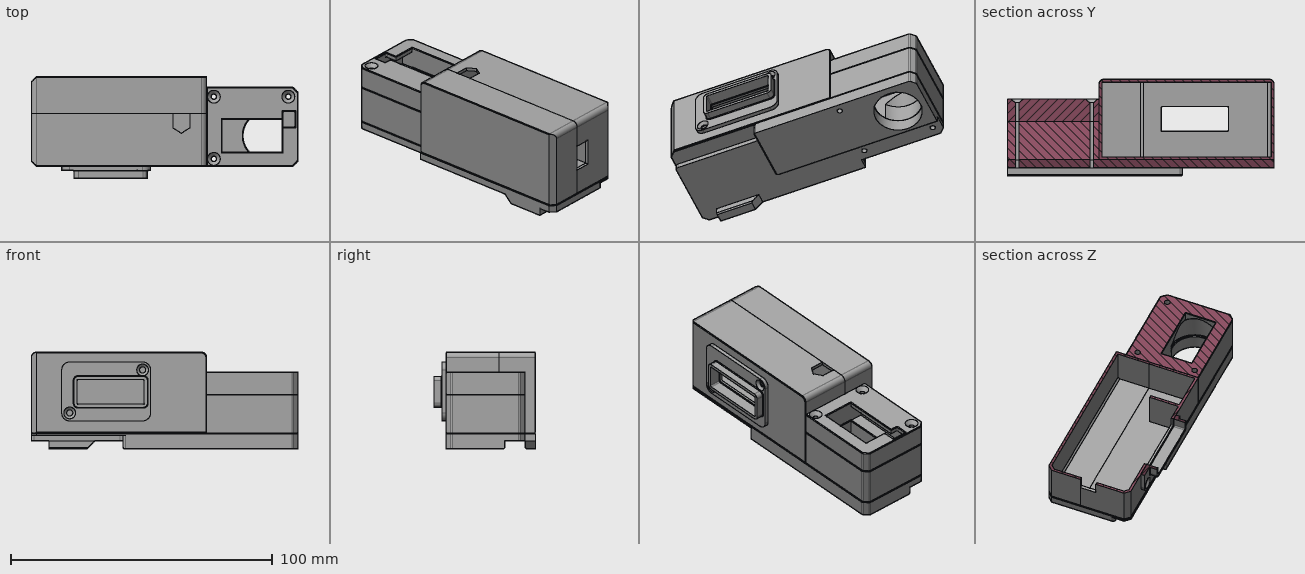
import cadquery as cq
length = 102.0
housing_length = 67.0
housing_width = 34.3
overall_height = 37.0
edge_break = 0.3

plate_bottom = 3.1
step_top = 5.2
base_top = 6.1
block_top = 20.9
lid_top = 29.5

wall = 1.2
corner = 2.0
split_y = 20.2
cavity_chamfer = 0.7
usb_width = 6.3
usb_bottom = 16.3
usb_height = 10.4
rib_x = 49.9
rib_end = 13.1
window_x = 54.1
window_width = 6.5
window_side = 5.5
window_depth = 7.5

flange_x = 11.6
flange_z = 10.7
flange_length = 34.0
flange_height = 22.5
flange_thick = 1.5
flange_radius = 3.1
collar_x = 16.3
collar_z = 15.9
collar_length = 28.0
collar_height = 11.8
collar_depth = 3.1
collar_radius = 1.6
collar_wall = 1.2
opening_radius = 0.4
flange_hole = 2.3
flange_sink = 4.5
flange_screw_inset = 3.1

camera_width = 30.3
camera_corner = 2.0
camera_corner_radius = 1.0
window_x0 = 72.9
window_x1 = 95.9
window_y0 = 5.5
window_y1 = 18.0
lid_roof = 1.8
lid_cavity_x1 = 100.8
lid_cavity_y1 = 23.1
notch_y0 = 15.0
notch_y1 = 21.0
notch_radius = 0.5
screw_hole = 1.9
screw_sink = 4.9
screw_points = [(69.8, 2.9), (69.8, 26.6), (98.2, 26.6)]
lens_x = 90.2
lens_y = (window_y0 + window_y1) / 2
lens_hole = 18.5
lens_bore = 20.1
lens_bore_top = 15.3
lens_cone_top = 20.4
lens_cone_top_diameter = 9.9

keel_x = 35.0
keel_width = 22.5
keel_radius = 1.0
keel_chamfer = 0.5
step_y = 6.0
foot_x = 6.7
foot_length = 17.5
foot_width = 4.0
foot_chamfer = 0.5


def block(x0, x1, y0, y1, z0, z1):
    """Box between two opposite corners."""
    return cq.Workplane("XY").box(x1 - x0, y1 - y0, z1 - z0, centered=False).translate((x0, y0, z0))


def camera_block(x0, z0, z1):
    """Box over the camera end with eased corners at +X."""
    body = block(x0, length, 0, camera_width, z0, z1)
    body = body.edges("|Z and >X").chamfer(camera_corner)
    near_end = cq.selectors.BoxSelector(
        (length - camera_corner - 0.1, -1, z0 - 1), (length + 1, camera_width + 1, z1 + 1)
    )
    return body.edges("|Z").edges(near_end).fillet(camera_corner_radius)


def screw_holes(z0, z1):
    return (
        cq.Workplane("XY").workplane(offset=z0).pushPoints(screw_points)
        .circle(screw_hole / 2).extrude(z1 - z0)
    )


def countersink(plane, hole, sink):
    """45 degree cone whose wide end lies on the plane and which narrows along -normal."""
    depth = (sink - hole) / 2
    return cq.Workplane(plane).circle(sink / 2).workplane(offset=-depth).circle(hole / 2).loft()


def camera_window(z0, z1):
    return block(window_x0, window_x1, window_y0, window_y1, z0, z1)


def window_rim(z):
    """Selector of the window edges at height z."""
    return cq.selectors.BoxSelector(
        (window_x0 - 0.1, window_y0 - 0.1, z - 0.1), (window_x1 + 0.1, window_y1 + 0.1, z + 0.1)
    )


def make_housing_shell():
    """Complete hollow housing before it is split into its two halves."""
    body = block(0, housing_length, 0, housing_width, base_top, overall_height)
    body = body.edges("|Z and <X").chamfer(corner)
    body = body.edges("|Y and >Z").fillet(corner)
    body = body.faces("<Y or >Y").edges("not(<X)").edges(
        cq.selectors.BoxSelector((corner + 0.1, -1, 0), (length, housing_width + 1, length))
    ).chamfer(edge_break)
    cavity = block(
        wall, housing_length - wall, wall, housing_width - wall, base_top + wall, overall_height - wall
    )
    cavity = cavity.edges("|Z and <X").chamfer(corner - wall / 2)
    cavity = cavity.edges("|X and <Z and >Y").chamfer(cavity_chamfer)
    return body.cut(cavity)


def make_front_shell(shell):
    body = shell.intersect(block(-1, length, -1, split_y, 0, overall_height + 1))
    usb = block(-1, corner, split_y - usb_width, split_y, usb_bottom, usb_bottom + usb_height)
    window = (
        cq.Workplane("XY").workplane(offset=overall_height - 2 * wall)
        .moveTo(window_x, split_y)
        .lineTo(window_x, split_y - window_side)
        .lineTo(window_x + window_width / 2, split_y - window_depth)
        .lineTo(window_x + window_width, split_y - window_side)
        .lineTo(window_x + window_width, split_y)
        .close().extrude(3 * wall)
    )
    body = body.cut(usb).cut(window).cut(connector_opening())
    opening_rim = cq.selectors.BoxSelector(
        (collar_x, -0.1, collar_z), (collar_x + collar_length, 0.1, collar_z + collar_height)
    )
    body = body.edges(opening_rim).chamfer(edge_break)
    rib = block(rib_x, rib_x + wall, wall, rib_end, base_top + wall, overall_height - wall)
    return body.union(rib)


def make_rear_shell(shell):
    return shell.intersect(block(-1, length, split_y, housing_width + 1, 0, overall_height + 1))


def connector_opening():
    """Passage through the collar, the flange and the front wall."""
    opening = block(
        collar_x + collar_wall, collar_x + collar_length - collar_wall,
        -flange_thick - collar_depth, 2 * wall,
        collar_z + collar_wall, collar_z + collar_height - collar_wall,
    )
    return opening.edges("|Y").fillet(opening_radius)


def make_connector_plate():
    flange = block(
        flange_x, flange_x + flange_length, -flange_thick, 0, flange_z, flange_z + flange_height
    ).edges("|Y").fillet(flange_radius)
    collar = block(
        collar_x, collar_x + collar_length, -flange_thick - collar_depth, -flange_thick,
        collar_z, collar_z + collar_height,
    ).edges("|Y").fillet(collar_radius)
    collar_foot = cq.selectors.BoxSelector(
        (collar_x - 0.1, -flange_thick - 0.1, collar_z - 0.1),
        (collar_x + collar_length + 0.1, -flange_thick + 0.1, collar_z + collar_height + 0.1),
    )
    body = flange.union(collar).edges(collar_foot).chamfer(edge_break).cut(connector_opening())
    inset = flange_screw_inset
    for x, z in [
        (flange_x + inset, flange_z + inset),
        (flange_x + flange_length - inset, flange_z + flange_height - inset),
    ]:
        face = cq.Plane(origin=(x, -flange_thick, z), xDir=(1, 0, 0), normal=(0, -1, 0))
        body = body.cut(cq.Workplane(face).circle(flange_hole / 2).extrude(-flange_thick))
        body = body.cut(countersink(face, flange_hole, flange_sink))
    return body


def make_camera_block():
    """Middle block with the window above the lens bore."""
    body = camera_block(housing_length, base_top, block_top)
    body = body.edges("|X and >Z and <Y").chamfer(edge_break)
    body = body.cut(camera_window(base_top, block_top))
    body = body.edges(window_rim(block_top)).chamfer(edge_break)
    return body.cut(lens_recess()).cut(screw_holes(base_top, block_top))


def lens_recess():
    """Lens bore that narrows to a cone below the window."""
    bore = (
        cq.Workplane("XY").workplane(offset=base_top).center(lens_x, lens_y)
        .circle(lens_bore / 2).extrude(lens_bore_top - base_top)
    )
    cone = (
        cq.Workplane("XY").workplane(offset=lens_bore_top).center(lens_x, lens_y)
        .circle(lens_bore / 2).workplane(offset=lens_cone_top - lens_bore_top)
        .circle(lens_cone_top_diameter / 2).loft()
    )
    return bore.union(cone)


def lid_notch(roof_bottom):
    """Notch beside the window, flared at its top edge."""
    notch = block(window_x1 + edge_break, lid_cavity_x1, notch_y0, notch_y1, roof_bottom, lid_top)
    notch = notch.edges("|Z").fillet(notch_radius)
    flare = (
        cq.Workplane("XY").workplane(offset=lid_top - edge_break)
        .center((window_x1 + edge_break + lid_cavity_x1) / 2, (notch_y0 + notch_y1) / 2)
        .rect(lid_cavity_x1 - window_x1 - edge_break, notch_y1 - notch_y0)
        .extrude(edge_break, taper=-45)
    )
    link = block(window_x1 - edge_break, window_x1 + 1, notch_y0, window_y1, roof_bottom, lid_top)
    return notch.union(flare).union(link)


def make_lid():
    roof_bottom = lid_top - lid_roof
    body = camera_block(housing_length, block_top, lid_top)
    body = body.faces(">Z").chamfer(edge_break)
    body = body.cut(block(window_x0, lid_cavity_x1, window_y0, lid_cavity_y1, block_top, roof_bottom))
    body = body.cut(camera_window(roof_bottom, lid_top))
    body = body.edges(window_rim(lid_top)).chamfer(edge_break)
    body = body.cut(lid_notch(roof_bottom)).cut(screw_holes(block_top, lid_top))
    for x, y in screw_points:
        face = cq.Plane(origin=(x, y, lid_top), normal=(0, 0, 1))
        body = body.cut(countersink(face, screw_hole, screw_sink))
    return body


def make_base():
    body = block(0, housing_length, 0, housing_width, step_top, base_top)
    body = body.edges("|Z and <X").chamfer(corner)
    body = body.union(camera_block(keel_x + keel_radius, step_top, base_top))
    body = body.faces(">Z").chamfer(edge_break)

    step = block(0, housing_length, step_y, housing_width, plate_bottom, step_top)
    step = step.edges("|Z and <X and >Y").chamfer(corner)
    step = step.edges("|Z and <X and <Y").fillet(keel_radius)
    step = step.union(camera_block(keel_x + keel_radius, plate_bottom, step_top))

    keel = block(keel_x, length, 0, keel_width, 0, step_top)
    keel = keel.edges("|Z and <X and >Y").fillet(keel_radius)
    keel = keel.edges("<X and <Z").chamfer(keel_chamfer)
    keel = keel.edges("|Z and <X and <Y").fillet(keel_radius)
    keel = keel.intersect(camera_block(0, 0, step_top))
    blend = block(keel_x - keel_radius, keel_x, step_y - keel_radius, step_y, plate_bottom, step_top).cut(
        cq.Workplane("XY").center(keel_x - keel_radius, step_y - keel_radius)
        .circle(keel_radius).extrude(step_top)
    )

    foot = (
        cq.Workplane("XZ", origin=(0, housing_width, 0))
        .moveTo(foot_x, 0).lineTo(foot_x + foot_length - plate_bottom, 0)
        .lineTo(foot_x + foot_length, plate_bottom).lineTo(foot_x, plate_bottom)
        .close().extrude(foot_width)
    )
    foot = foot.edges("|X and <Z and <Y").chamfer(foot_chamfer)
    body = body.union(step).union(keel).union(blend).union(foot)

    lens = cq.Workplane("XY").center(lens_x, lens_y).circle(lens_hole / 2).extrude(base_top)
    lens = lens.union(
        cq.Workplane("XY").workplane(offset=base_top - edge_break).center(lens_x, lens_y)
        .circle(lens_hole / 2).extrude(edge_break, taper=-45)
    )
    return body.cut(lens).cut(screw_holes(0, base_top))


shell = make_housing_shell()
front_shell = make_front_shell(shell)
rear_shell = make_rear_shell(shell)
connector_plate = make_connector_plate()
camera_body = make_camera_block()
lid = make_lid()
base = make_base()

result = cq.Compound.makeCompound(
    [s.val() for s in (front_shell, rear_shell, connector_plate, camera_body, lid, base)]
)